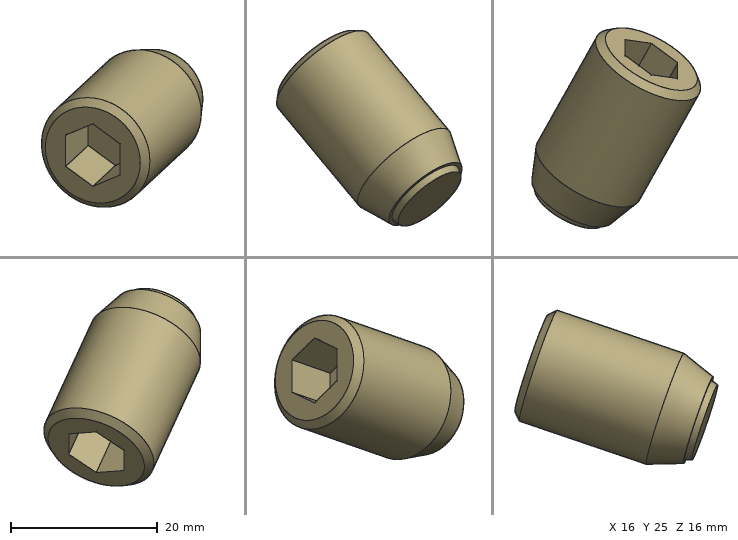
import cadquery as cq
import math

length = 25.0
body_radius = 8.0
front_y = -length / 2
back_y = length / 2

chamfer = 1.0
ball_protrusion = 0.95
cone_length = 4.78
cone_angle = 20.0
nose_y = back_y - ball_protrusion
cone_start_y = nose_y - cone_length
nose_radius = body_radius - cone_length * math.tan(math.radians(cone_angle))

hex_across_flats = 8.0
hex_depth = 8.0
hex_across_corners = hex_across_flats / math.cos(math.radians(30))

ball_radius = 5.9
ball_flat_radius = 5.4
ball_center_y = back_y - math.sqrt(ball_radius**2 - ball_flat_radius**2)


def make_ball():
    """Ball cut by a flat pressure face at the +Y end, revolved about Y."""
    return (
        cq.Workplane("XY")
        .moveTo(0, ball_center_y - ball_radius)
        .threePointArc((ball_radius, ball_center_y), (ball_flat_radius, back_y))
        .lineTo(0, back_y)
        .close()
        .revolve(360, (0, 0, 0), (0, 1, 0))
    )


def make_hex_socket():
    """Hexagonal prism with two corners on the Z direction."""
    return (
        cq.Workplane("XZ", origin=(0, front_y, 0))
        .transformed(rotate=(0, 0, 90))
        .polygon(6, hex_across_corners)
        .extrude(-hex_depth)
    )


def make_screw(ball):
    """Turned screw body with a hexagon socket and a matching ball seat."""
    blank = (
        cq.Workplane("XY")
        .moveTo(0, front_y)
        .lineTo(body_radius - chamfer, front_y)
        .lineTo(body_radius, front_y + chamfer)
        .lineTo(body_radius, cone_start_y)
        .lineTo(nose_radius, nose_y)
        .lineTo(0, nose_y)
        .close()
        .revolve(360, (0, 0, 0), (0, 1, 0))
    )
    return blank.cut(make_hex_socket()).cut(ball)


ball = make_ball()
screw = make_screw(ball)

result = cq.Compound.makeCompound([screw.val(), ball.val()])